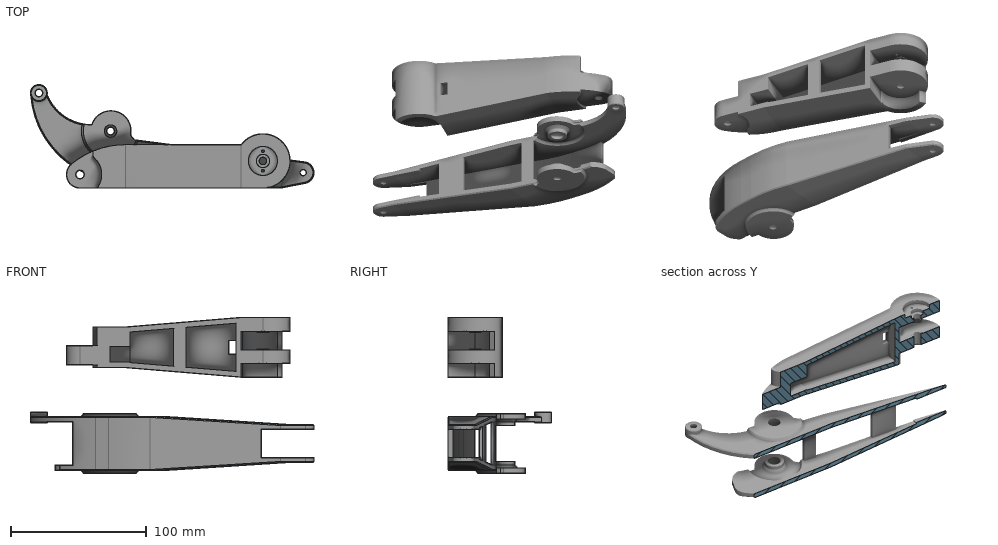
import cadquery as cq
import math


BIG = 300.0


def cylinder(center, radius, z_low, z_high):
    return cq.Workplane("XY", origin=(*center, z_low)).circle(radius).extrude(z_high - z_low)


def box(x_low, x_high, y_low, y_high, z_low=0.0, z_high=BIG):
    size = (x_high - x_low, y_high - y_low, z_high - z_low)
    return cq.Workplane("XY", origin=(x_low, y_low, z_low)).box(*size, centered=False)


def polygon_prism(points, z_low=0.0, z_high=BIG):
    return cq.Workplane("XY", origin=(0, 0, z_low)).polyline(points).close().extrude(z_high - z_low)


def on_circle(center, radius, angle):
    turn = math.radians(angle)
    return (center[0] + radius * math.cos(turn), center[1] + radius * math.sin(turn))


def direction(start, end):
    return math.degrees(math.atan2(end[1] - start[1], end[0] - start[0]))


def tangent_point(outside, center, radius, side):
    """Touch point of a line from an outside point to a circle; side +1 or -1 picks one of the two."""
    opening = math.degrees(math.acos(radius / math.dist(outside, center)))
    return on_circle(center, radius, direction(center, outside) + side * opening)


def taper_bar(x_start, x_end, half_start, half_end, z_mid):
    """Bar along X, of half height half_start up to x_start and half_end from x_end on."""
    upper = [(-BIG, half_start), (x_start, half_start), (x_end, half_end), (BIG, half_end)]
    lower = [(x, -z) for x, z in reversed(upper)]
    return cq.Workplane("XZ", origin=(0, 0, z_mid)).polyline(upper + lower).close().extrude(BIG, both=True)


def level_faces(body):
    """Plane faces that look mostly up or down, so the gently tapered ones count too."""
    planes = body.faces("%PLANE").vals()
    return [face for face in planes if abs(face.normalAt().z) > 0.9]


def border_edges(faces):
    """Edges that belong to only one of the faces, which leaves out the folds between them."""
    edges = [edge for face in faces for edge in face.Edges()]
    return [edge for edge in edges if sum(edge.isSame(other) for other in edges) == 1]


ROCKER_MID_Z = 22.0
ROCKER_HALF = 20.0
TIP_HALF = 14.0
PLATE = 4.0
CAVITY_HALF = ROCKER_HALF - PLATE
SLOT_HALF = 10.4
WALL = 3.6
UPPER_WALL = 2.5
RIM_CHAMFER = 0.8

TAPER_START_X = 88.1
TAPER_END_X = 184.3
TAPER_TURN = -17.0
SLOT_START_X = 170.1

EYE_RADIUS = 6.2
EYE_CENTER = (EYE_RADIUS, 70.03)
EYE_HOLE_RADIUS = 2.7
EYE_Z = (37.0, 45.3)
EYE_CHAMFER = 0.5

HUB_CENTER = (59.0, 42.0)
HUB_RADIUS = 15.0
PAD_RADIUS = 20.0
PAD_HEIGHT = 2.0
PAD_FLARE = 1.5
RECESS_RADIUS = 19.0
BOSS_RADIUS = 7.2
BOSS_HEIGHT = 2.8
BOSS_FOOT = 2.0
BEARING_RADIUS = 4.6
PIVOT_HOLE_RADIUS = 2.75
BEARING_SEAT = 2.0

TIP_CENTER = (200.82, 11.4)
TIP_RADIUS = 8.0
TIP_HOLE_RADIUS = 2.2

ELBOW_X = 57.4
ELBOW_FLAT = 10.0
ELBOW_SLOPE = 18.0
LEVER_TIP_OUT = (0.1, 69.0)
LEVER_TIP_IN = (12.3, 68.8)
LEVER_FRONT = (25.5, 52.5)
LEVER_HUB = (45.2, 46.7)
HUB_SIDE = (74.0, 41.0)
HUB_FOOT = (HUB_SIDE[0], 38.5)
UPPER_SIDE = (76.6, 35.6)

MOUTH = (31.1, 16.5)
UPPER_WALL_X = 79.5
OPEN_SIDE_Y = 23.0
WINDOW_Y = 15.0
WINDOWS_X = [(88.9, 135.0), (154.3, SLOT_START_X)]

EAR_TOP = (31.5, 49.3)
EAR_TOP_MID = (25.8, 46.8)
EAR_SIDE_HIGH = (22.0, 42.7)
EAR_SIDE_LOW = (18.6, 33.8)
EAR_FOOT_MID = (18.6, 28.5)
EAR_FOOT = (21.6, 23.8)


def rocker_plan():
    slope = math.radians(ELBOW_SLOPE)
    elbow_radius = (TAPER_START_X - ELBOW_X) / math.sin(slope)
    elbow = (ELBOW_X, elbow_radius * (1 - math.cos(slope)))
    lever_root = (elbow[0] - ELBOW_FLAT * math.cos(slope), elbow[1] + ELBOW_FLAT * math.sin(slope))
    lower_corner = (TAPER_END_X, 0)
    tip_low = tangent_point(lower_corner, TIP_CENTER, TIP_RADIUS, 1)
    tip_high = tangent_point(UPPER_SIDE, TIP_CENTER, TIP_RADIUS, -1)
    return (
        cq.Workplane("XY", origin=(0, 0, ROCKER_MID_Z - BIG / 2))
        .moveTo(*lower_corner)
        .lineTo(TAPER_START_X, 0)
        .tangentArcPoint(elbow, relative=False)
        .lineTo(*lever_root)
        .tangentArcPoint(LEVER_TIP_OUT, relative=False)
        .lineTo(*LEVER_TIP_IN)
        .threePointArc(LEVER_FRONT, LEVER_HUB)
        .threePointArc(on_circle(HUB_CENTER, HUB_RADIUS, 90), HUB_SIDE)
        .lineTo(*HUB_FOOT)
        .lineTo(*UPPER_SIDE)
        .lineTo(*tip_high)
        .threePointArc(on_circle(TIP_CENTER, TIP_RADIUS, 0), tip_low)
        .close()
    )


def rocker_taper(half_start, half_end):
    length = (TAPER_END_X - TAPER_START_X) * math.cos(math.radians(TAPER_TURN))
    bar = taper_bar(0, length, half_start, half_end, ROCKER_MID_Z)
    return bar.rotate((0, 0, 0), (0, 0, 1), TAPER_TURN).translate((TAPER_START_X, 0, 0))


def on_outer_rim(edge):
    """Rims of the upper and lower faces, apart from those at the fork tips and the hub."""
    center = edge.Center()
    clear_of_hub = math.dist((center.x, center.y), HUB_CENTER) >= PAD_RADIUS
    return clear_of_hub and center.x < TAPER_END_X


def rocker_blank():
    blank = rocker_plan().extrude(BIG).intersect(rocker_taper(ROCKER_HALF, TIP_HALF))
    rim = [edge for edge in border_edges(level_faces(blank)) if on_outer_rim(edge)]
    return blank.newObject(rim).chamfer(RIM_CHAMFER)


def upper_wall_inside(x):
    """Point on the inner face of the thin upper wall."""
    tip_high = tangent_point(UPPER_SIDE, TIP_CENTER, TIP_RADIUS, -1)
    slope = (tip_high[1] - UPPER_SIDE[1]) / (tip_high[0] - UPPER_SIDE[0])
    return (x, UPPER_SIDE[1] - UPPER_WALL + slope * (x - UPPER_SIDE[0]))


def rocker_cavity():
    cavity = rocker_plan().offset2D(-WALL).extrude(BIG)
    along_upper_wall = polygon_prism([
        upper_wall_inside(UPPER_SIDE[0]),
        upper_wall_inside(SLOT_START_X),
        (SLOT_START_X, WINDOW_Y),
        (UPPER_SIDE[0], WINDOW_Y),
    ])
    mouth_angle = 90 + TAPER_TURN
    mouth = polygon_prism([
        on_circle(MOUTH, BIG, mouth_angle),
        on_circle(MOUTH, BIG, mouth_angle + 180),
        (-BIG, -BIG),
        (-BIG, BIG),
    ])
    open_side = box(0, UPPER_WALL_X, OPEN_SIDE_Y, BIG)
    cavity = cavity.union(along_upper_wall).union(mouth).union(open_side)
    for x_low, x_high in WINDOWS_X:
        cavity = cavity.union(box(x_low, x_high, WINDOW_Y, BIG))
    return cavity.intersect(rocker_taper(CAVITY_HALF, SLOT_HALF))


def ear_trim():
    """Everything to the left of the rounded end of the lower plate."""
    return (
        cq.Workplane("XY")
        .moveTo(EAR_TOP[0], BIG)
        .lineTo(*EAR_TOP)
        .threePointArc(EAR_TOP_MID, EAR_SIDE_HIGH)
        .lineTo(*EAR_SIDE_LOW)
        .threePointArc(EAR_FOOT_MID, EAR_FOOT)
        .lineTo(-BIG, -BIG)
        .lineTo(-BIG, BIG)
        .close()
        .extrude(ROCKER_MID_Z)
    )


def hub_cone(radius_start, radius_end, height, z_start, sign):
    cone = cq.Solid.makeCone(
        radius_start, radius_end, height, cq.Vector(*HUB_CENTER, z_start), cq.Vector(0, 0, sign)
    )
    return cq.Workplane(cone)


def add_hub(body, sign):
    """Raised pad outside, matching recess inside and pivot boss; sign picks the upper or lower plate."""
    outer_z = ROCKER_MID_Z + sign * ROCKER_HALF
    inner_z = ROCKER_MID_Z + sign * CAVITY_HALF
    floor_z = inner_z + sign * PAD_HEIGHT
    boss_z = inner_z - sign * BOSS_HEIGHT
    pad = hub_cone(PAD_RADIUS + PAD_FLARE, PAD_RADIUS, PAD_HEIGHT, outer_z, sign)
    pad = pad.intersect(rocker_plan().extrude(BIG))
    recess = hub_cone(RECESS_RADIUS + PAD_FLARE, RECESS_RADIUS, PAD_HEIGHT, inner_z, sign)
    foot = hub_cone(BOSS_RADIUS + BOSS_FOOT, BOSS_RADIUS, BOSS_FOOT, floor_z, -sign)
    boss = cylinder(HUB_CENTER, BOSS_RADIUS, min(floor_z, boss_z), max(floor_z, boss_z))
    return body.union(pad).cut(recess).union(foot).union(boss)


rocker = rocker_blank().cut(rocker_cavity())
rocker = rocker.cut(box(SLOT_START_X, BIG, -BIG, BIG, ROCKER_MID_Z - SLOT_HALF, ROCKER_MID_Z + SLOT_HALF))
rocker = rocker.cut(cylinder(TIP_CENTER, TIP_HOLE_RADIUS, 0, BIG))
rocker = rocker.cut(ear_trim())
for plate_side in (1, -1):
    rocker = add_hub(rocker, plate_side)
rocker = rocker.cut(cylinder(HUB_CENTER, PIVOT_HOLE_RADIUS, -BIG, BIG))
rocker = rocker.cut(cylinder(HUB_CENTER, BEARING_RADIUS, BEARING_SEAT, BIG))

eye = cylinder(EYE_CENTER, EYE_RADIUS, *EYE_Z).faces("<Z or >Z").chamfer(EYE_CHAMFER)
rocker = rocker.union(eye)
rocker = rocker.cut(cylinder(EYE_CENTER, EYE_HOLE_RADIUS, *EYE_Z))

ARM_MID_Z = 92.82
ARM_HALF = 22.06
ARM_END_HALF = 15.0
ARM_WIDTH = 32.0

JOINT_RADIUS = 20.0
JOINT_CENTER = (171.2, JOINT_RADIUS)
JOINT_RISE = ARM_WIDTH - JOINT_CENTER[1]
JOINT_CLEARANCE = 15.0
JOINT_OPENING = 45.0
FORK_SLOTS_Z = [(91.0, 104.6), (0.0, 80.9)]
COLLAR_RADIUS = 4.3
COLLAR_HEIGHT = 0.7
SERVO_RADIUS = 10.7
SERVO_DEPTH = 3.5
BORE_RADIUS = 4.9
BORE_DEPTH = 6.5
PIN_RADIUS = 2.75
SCREW_RADIUS = 1.0
SCREW_OFFSET = 7.2

ARM_TAPER_X = (70.0, JOINT_CENTER[0] - math.sqrt(JOINT_RADIUS**2 - JOINT_RISE**2))

KNUCKLE_RADIUS = 10.0
KNUCKLE_CENTER = (36.5, KNUCKLE_RADIUS)
KNUCKLE_HOLE_RADIUS = 3.0
KNUCKLE_Z = (79.8, 94.1)
STEP_RADIUS = 16.0
STEP_X = 45.9
STEP_BLEND = 5.2
SHOULDER_RADIUS = 63.0
SHOULDER_CENTER = (ARM_TAPER_X[0], ARM_WIDTH - SHOULDER_RADIUS)

FRONT_WALL = 3.2
BACK_WALL = 4.0
FLOOR = 4.0
OPENINGS_X = [(73.2, 105.4), (114.6, 151.2)]
POCKET_X = 58.6
POCKET_Z = (82.1, 93.4)
CABLE_HOLE_WIDTH = 5.1
CABLE_HOLE_Z = (87.75, 97.75)


def arm_plan():
    touch = direction(SHOULDER_CENTER, KNUCKLE_CENTER)
    return (
        cq.Workplane("XY")
        .moveTo(KNUCKLE_CENTER[0], 0)
        .lineTo(JOINT_CENTER[0], 0)
        .threePointArc(on_circle(JOINT_CENTER, JOINT_RADIUS, 0), (ARM_TAPER_X[1], ARM_WIDTH))
        .lineTo(ARM_TAPER_X[0], ARM_WIDTH)
        .threePointArc(
            on_circle(SHOULDER_CENTER, SHOULDER_RADIUS, (90 + touch) / 2),
            on_circle(SHOULDER_CENTER, SHOULDER_RADIUS, touch),
        )
        .threePointArc(on_circle(KNUCKLE_CENTER, KNUCKLE_RADIUS, 180), (KNUCKLE_CENTER[0], 0))
        .close()
    )


def arm_taper(inset=0.0):
    return taper_bar(*ARM_TAPER_X, ARM_END_HALF - inset, ARM_HALF - inset, ARM_MID_Z)


def knuckle_step():
    """Clears the space above and below the knuckle, with a rounded shoulder next to the arm."""
    rise = math.sqrt(STEP_RADIUS**2 - (STEP_X - KNUCKLE_CENTER[0]) ** 2)
    corner = (STEP_X, KNUCKLE_CENTER[1] + rise, BIG / 2)
    step = cylinder(KNUCKLE_CENTER, STEP_RADIUS, 0, BIG)
    step = step.union(box(0, STEP_X, KNUCKLE_CENTER[1], BIG))
    step = step.edges(cq.NearestToPointSelector(corner)).fillet(STEP_BLEND)
    return step.cut(box(-BIG, BIG, -BIG, BIG, *KNUCKLE_Z))


def arm_cavity():
    """One long room behind the front wall, with two openings through that wall."""
    cavity = box(OPENINGS_X[0][0], OPENINGS_X[-1][1], FRONT_WALL, ARM_WIDTH - BACK_WALL)
    for opening in OPENINGS_X:
        cavity = cavity.union(box(*opening, -BIG, ARM_WIDTH / 2))
    return cavity.intersect(arm_taper(FLOOR))


def rod_pocket():
    """Narrow pocket that runs from the first opening towards the knuckle."""
    pocket = box(POCKET_X, sum(OPENINGS_X[0]) / 2, -BIG, BIG, *POCKET_Z)
    return pocket.intersect(cylinder(SHOULDER_CENTER, SHOULDER_RADIUS - BACK_WALL, 0, BIG))


def cable_hole():
    x_high = OPENINGS_X[-1][1]
    return box(x_high - CABLE_HOLE_WIDTH, x_high, ARM_WIDTH / 2, BIG, *CABLE_HOLE_Z)


def fork_slot(z_low, z_high):
    slot = cylinder(JOINT_CENTER, JOINT_CLEARANCE, z_low, z_high)
    front = box(ARM_TAPER_X[1], BIG, -BIG, JOINT_CENTER[1], z_low, z_high)
    corner = on_circle(JOINT_CENTER, BIG, JOINT_OPENING)
    opening = polygon_prism([JOINT_CENTER, (BIG, JOINT_CENTER[1]), corner], z_low, z_high)
    return slot.union(front).union(opening)


arm = arm_plan().extrude(BIG).intersect(arm_taper())
arm = arm.cut(knuckle_step())
arm = arm.cut(cylinder(KNUCKLE_CENTER, KNUCKLE_HOLE_RADIUS, 0, BIG))
arm = arm.cut(arm_cavity())
arm = arm.cut(rod_pocket())
arm = arm.cut(cable_hole())
for z_range in FORK_SLOTS_Z:
    arm = arm.cut(fork_slot(*z_range))

slot_low, slot_high = FORK_SLOTS_Z[0]
arm = arm.union(cylinder(JOINT_CENTER, COLLAR_RADIUS, slot_low, slot_low + COLLAR_HEIGHT))
arm = arm.union(cylinder(JOINT_CENTER, COLLAR_RADIUS, slot_high - COLLAR_HEIGHT, slot_high))

arm_top = ARM_MID_Z + ARM_HALF
arm = arm.cut(cylinder(JOINT_CENTER, SERVO_RADIUS, arm_top - SERVO_DEPTH, BIG))
arm = arm.cut(cylinder(JOINT_CENTER, BORE_RADIUS, arm_top - BORE_DEPTH, BIG))
arm = arm.cut(cylinder(JOINT_CENTER, PIN_RADIUS, 0, BIG))
for angle in (90, -90):
    screw_center = on_circle(JOINT_CENTER, SCREW_OFFSET, angle)
    arm = arm.cut(cylinder(screw_center, SCREW_RADIUS, slot_high, BIG))

result = cq.Compound.makeCompound([rocker.val(), arm.val()])